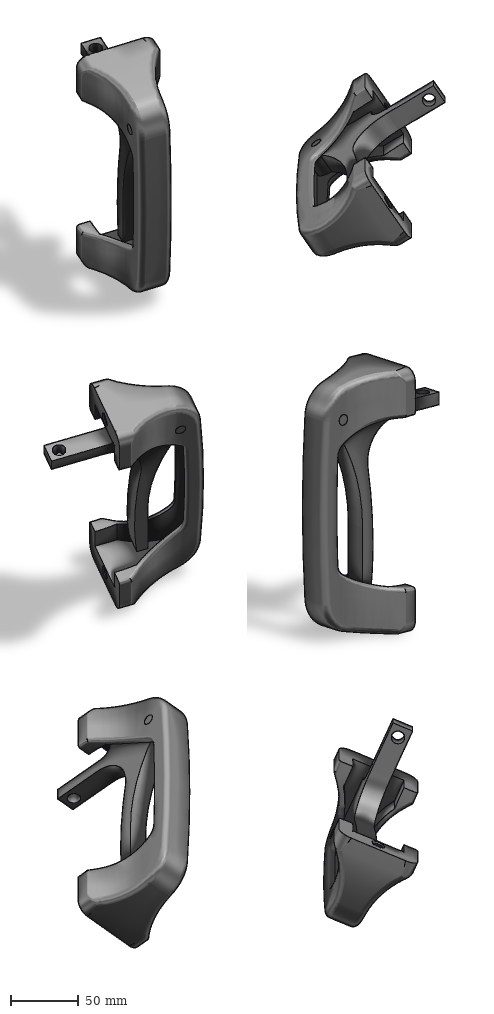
import cadquery as cq
import math

HEIGHT = 205.0
WIDTH = 64.0
GRIP_WIDTH = 26.6
BACK_X = 74.8
BACK_RADIUS = 1000.5
GRIP_DEPTH = 15.0
GRIP_INNER_X = BACK_X - GRIP_DEPTH
TOP_RADIUS = 196.8
BACK_CORNER_RADIUS = 26.6
OPENING_HEIGHT = 133.2
OPENING_RADIUS = 97.5
OPENING_CORNER_RADIUS = 10.0
FLANK_RADIUS = 65.0
FLANK_END_X = 56.0
FOOT_THICKNESS = 9.6
FLANK_START_X = 14.5
FOOT_CORNER_RADIUS = 10.0
OUTER_EDGE_RADIUS = 2.0
OPENING_EDGE_RADIUS = 2.9
BACK_EDGE_RADIUS = 5.0

CAVITY_HEIGHT = 167.7
CAVITY_WIDTH = 41.5
SLOT_WIDTH = 18.0
SLOT_FLOOR_X = 68.7
SLOT_CORNER_RADIUS = 11.5
FLANK_WALL = (GRIP_WIDTH - SLOT_WIDTH) / 2

SCREW_Z = 90.8
SCREW_RADIUS = 4.0
SCREW_DEPTH = 20.0
SCREW_CHAMFER = 1.0
DRILL_HALF_ANGLE = 59.0

PIN_X = 55.1
PIN_Z = 70.1
PIN_RADIUS = 4.0

LEVER_WIDTH = 16.0
ARM_TIP_X = -45.0
ARM_TOP_Z = 70.3
ARM_THICKNESS = 9.8
ARM_FILLET = 10.0
ARM_HOLE_RADIUS = 5.0
ARM_HOLE_X = -36.0
HUB_RADIUS = 12.7
ELBOW_RADIUS = 30.0
ELBOW_X = -3.9
ELBOW_END_Z = 26.0
BLADE_FRONT_X = 20.7
BLADE_FRONT_Z = -34.6
BLADE_REAR_X = 31.2
BLADE_REAR_Z = -19.5
BLADE_END_Z = -66.6
BLADE_TOE_SETBACK = 1.8


def arc_drop(radius, run):
    """Fall of an arc of the given radius at a distance from its crest."""
    return radius - math.sqrt(radius**2 - run**2)


def radius_from_drop(run, drop):
    """Radius of an arc that falls by `drop` over `run` from its crest."""
    return (run**2 + drop**2) / (2 * drop)


def prism_y(sketch, width):
    """Extrude an XZ outline symmetrically along Y."""
    return sketch.extrude(width / 2, both=True)


def side_block():
    """Side outline of the housing without the opening, its two back corners rounded."""
    top = HEIGHT / 2
    back_z = top - arc_drop(TOP_RADIUS, BACK_X)
    corner_x = BACK_X - arc_drop(BACK_RADIUS, back_z)
    corner_z = top - arc_drop(TOP_RADIUS, corner_x)
    mid_x = corner_x / 2
    mid_z = top - arc_drop(TOP_RADIUS, mid_x)
    outline = (
        cq.Workplane("XZ")
        .moveTo(0, -top)
        .threePointArc((mid_x, -mid_z), (corner_x, -corner_z))
        .threePointArc((BACK_X, 0), (corner_x, corner_z))
        .threePointArc((mid_x, mid_z), (0, top))
        .close()
    )
    return prism_y(outline, WIDTH).edges("|Y").edges(">X").fillet(BACK_CORNER_RADIUS)


def plan_block():
    """Plan outline of the housing: wide feet that sweep in to the grip."""
    foot_y = WIDTH / 2
    grip_y = GRIP_WIDTH / 2
    start_y = grip_y + arc_drop(FLANK_RADIUS, FLANK_END_X - FLANK_START_X)
    mid_x = (FLANK_START_X + FLANK_END_X) / 2
    mid_y = grip_y + arc_drop(FLANK_RADIUS, FLANK_END_X - mid_x)
    return (
        cq.Workplane("XY")
        .moveTo(0, -foot_y)
        .lineTo(FOOT_THICKNESS, -foot_y)
        .lineTo(FLANK_START_X, -start_y)
        .threePointArc((mid_x, -mid_y), (FLANK_END_X, -grip_y))
        .lineTo(BACK_X, -grip_y)
        .lineTo(BACK_X, grip_y)
        .lineTo(FLANK_END_X, grip_y)
        .threePointArc((mid_x, mid_y), (FLANK_START_X, start_y))
        .lineTo(FOOT_THICKNESS, foot_y)
        .lineTo(0, foot_y)
        .close()
        .extrude(HEIGHT / 2, both=True)
    )


def opening_block():
    """Hand opening between the feet, bounded by the grip."""
    half = OPENING_HEIGHT / 2
    inner_radius = BACK_RADIUS - GRIP_DEPTH
    rough_z = half - arc_drop(OPENING_RADIUS, GRIP_INNER_X)
    corner_x = GRIP_INNER_X - arc_drop(inner_radius, rough_z)
    corner_z = half - arc_drop(OPENING_RADIUS, corner_x)
    mid_z = half - arc_drop(OPENING_RADIUS, corner_x / 2)
    outline = (
        cq.Workplane("XZ")
        .moveTo(0, -half)
        .threePointArc((corner_x / 2, -mid_z), (corner_x, -corner_z))
        .threePointArc((GRIP_INNER_X, 0), (corner_x, corner_z))
        .threePointArc((corner_x / 2, mid_z), (0, half))
        .close()
    )
    return prism_y(outline, WIDTH).edges("|Y").edges(">X").fillet(OPENING_CORNER_RADIUS)


def cavity_block():
    """Lever cavity: wide between the feet, narrowing parallel to the flanks to the slot."""
    mouth_y = CAVITY_WIDTH / 2
    slot_y = SLOT_WIDTH / 2
    radius = FLANK_RADIUS + FLANK_WALL
    start_x = FLANK_END_X - math.sqrt(radius**2 - (radius - mouth_y + slot_y) ** 2)
    mid_x = (start_x + FLANK_END_X) / 2
    mid_y = slot_y + arc_drop(radius, FLANK_END_X - mid_x)
    return (
        cq.Workplane("XY")
        .moveTo(0, -mouth_y)
        .lineTo(start_x, -mouth_y)
        .threePointArc((mid_x, -mid_y), (FLANK_END_X, -slot_y))
        .lineTo(SLOT_FLOOR_X, -slot_y)
        .lineTo(SLOT_FLOOR_X, slot_y)
        .lineTo(FLANK_END_X, slot_y)
        .threePointArc((mid_x, mid_y), (start_x, mouth_y))
        .lineTo(0, mouth_y)
        .close()
        .extrude(CAVITY_HEIGHT / 2, both=True)
        .edges("|Y")
        .edges(">X")
        .fillet(SLOT_CORNER_RADIUS)
    )


def screw_hole():
    """Blind screw hole from X = 0 with a chamfered mouth and a drill-point bottom."""
    point = SCREW_RADIUS / math.tan(math.radians(DRILL_HALF_ANGLE))
    return (
        cq.Workplane("XY")
        .moveTo(0, 0)
        .lineTo(0, SCREW_RADIUS + SCREW_CHAMFER)
        .lineTo(SCREW_CHAMFER, SCREW_RADIUS)
        .lineTo(SCREW_DEPTH, SCREW_RADIUS)
        .lineTo(SCREW_DEPTH + point, 0)
        .close()
        .revolve(360, (0, 0, 0), (1, 0, 0))
    )


def pin_cylinder(length):
    return prism_y(cq.Workplane("XZ").center(PIN_X, PIN_Z).circle(PIN_RADIUS), length)


def flank_edges(body, min_x, max_x, min_z, max_z):
    """Curved edges along both flanks whose centres lie in a range of X and of distance from Z = 0."""
    picked = []
    for edge in body.edges("not(|Y)").edges("not(|Z)").edges("not(|X)").vals():
        centre = edge.Center()
        if min_x < centre.x < max_x and min_z <= abs(centre.z) < max_z:
            picked.append(edge)
    return body.newObject(picked)


def outer_body():
    """Solid outer form of the housing with its back and end edges rounded."""
    half = HEIGHT / 2
    feet = cq.Workplane("YZ").rect(WIDTH, HEIGHT).extrude(BACK_X)
    feet = feet.edges("|X").fillet(FOOT_CORNER_RADIUS)
    body = side_block().intersect(plan_block()).intersect(feet)
    body = flank_edges(body, GRIP_INNER_X, BACK_X, 0, OPENING_HEIGHT / 2).fillet(BACK_EDGE_RADIUS)
    return flank_edges(body, FOOT_THICKNESS, BACK_X, CAVITY_HEIGHT / 2, half).fillet(OUTER_EDGE_RADIUS)


def opened_body():
    """Plan form with the hand opening cut through it and the rim of the opening rounded."""
    body = plan_block().cut(opening_block())
    half = OPENING_HEIGHT / 2
    return flank_edges(body, FOOT_THICKNESS / 4, GRIP_INNER_X + 2, 0, half).fillet(OPENING_EDGE_RADIUS)


def make_housing():
    body = outer_body().intersect(opened_body())
    body = body.cut(cavity_block()).cut(pin_cylinder(WIDTH))
    for z in (-SCREW_Z, SCREW_Z):
        body = body.cut(screw_hole().translate((0, 0, z)))
    return body


def make_pin():
    return pin_cylinder(GRIP_WIDTH)


def make_lever():
    """Arm, hub around the pin and curved blade, all in one plate."""
    arm_bottom = ARM_TOP_Z - ARM_THICKNESS
    hub_top = PIN_Z + HUB_RADIUS
    hub_bottom = PIN_Z - HUB_RADIUS
    slant = math.sqrt(0.5)

    elbow_z = arm_bottom - ELBOW_RADIUS
    elbow_end_x = ELBOW_X + math.sqrt(ELBOW_RADIUS**2 - (ELBOW_END_Z - elbow_z) ** 2)

    front_run = ELBOW_END_Z - BLADE_FRONT_Z
    front_radius = radius_from_drop(front_run, elbow_end_x - BLADE_FRONT_X)
    front_mid = (
        BLADE_FRONT_X + arc_drop(front_radius, front_run / 2),
        BLADE_FRONT_Z + front_run / 2,
    )

    rear_run = hub_bottom - BLADE_REAR_Z
    rear_radius = radius_from_drop(rear_run, PIN_X - BLADE_REAR_X)
    rear_mid = (
        BLADE_REAR_X + arc_drop(rear_radius, rear_run / 2),
        BLADE_REAR_Z + rear_run / 2,
    )

    outline = (
        cq.Workplane("XZ")
        .moveTo(ARM_TIP_X, arm_bottom)
        .lineTo(ELBOW_X, arm_bottom)
        .threePointArc(
            (ELBOW_X + ELBOW_RADIUS * slant, elbow_z + ELBOW_RADIUS * slant),
            (elbow_end_x, ELBOW_END_Z),
        )
        .threePointArc(front_mid, (BLADE_FRONT_X, BLADE_FRONT_Z))
        .tangentArcPoint((BLADE_FRONT_X + BLADE_TOE_SETBACK, BLADE_END_Z), relative=False)
        .lineTo(BLADE_REAR_X, BLADE_END_Z)
        .lineTo(BLADE_REAR_X, BLADE_REAR_Z)
        .threePointArc(rear_mid, (PIN_X, hub_bottom))
        .threePointArc((PIN_X + HUB_RADIUS, PIN_Z), (PIN_X, hub_top))
        .lineTo(ARM_FILLET, hub_top)
        .lineTo(ARM_FILLET, ARM_TOP_Z + ARM_FILLET)
        .threePointArc(
            (ARM_FILLET * slant, ARM_TOP_Z + ARM_FILLET * (1 - slant)),
            (0, ARM_TOP_Z),
        )
        .lineTo(ARM_TIP_X, ARM_TOP_Z)
        .close()
    )
    arm_hole = (
        cq.Workplane("XY", origin=(ARM_HOLE_X, 0, arm_bottom))
        .circle(ARM_HOLE_RADIUS)
        .extrude(ARM_THICKNESS)
    )
    return prism_y(outline, LEVER_WIDTH).cut(arm_hole).cut(pin_cylinder(WIDTH))


housing = make_housing()
lever = make_lever()
pin = make_pin()

result = cq.Compound.makeCompound([housing.val(), lever.val(), pin.val()])